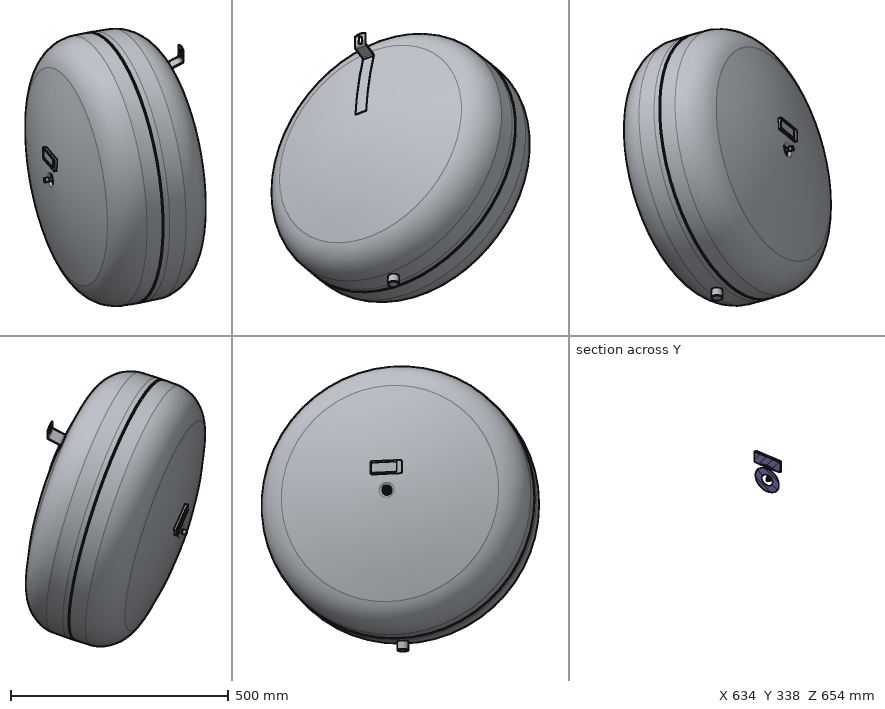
import cadquery as cq
import math


belly_radius = 634.0 / 2
shoulder_radius = 632.0 / 2
shoulder_y = 48.5
dome_rim_radius = 255.0
dome_rim_y = 122.0
dome_apex_y = 161.5
rim_band_y = 7.0
seam_y = -6.5
groove_width = 3.0

dome_sag = dome_apex_y - dome_rim_y
dome_radius = (dome_rim_radius**2 + dome_sag**2) / (2 * dome_sag)

connection_diameter = 26.0
connection_y = 28.0
connection_length = 30.0
connection_chamfer = 1.0
overall_height = 654.0
connection_bottom_z = belly_radius - overall_height

bracket_width = 30.0
bracket_thickness = 2.0
bracket_back_y = 163.0
bracket_top_z = 282.5
bracket_bend_z = 247.0
bend_inner_radius = 3.0
bracket_top_rise = 4.0
foot_top_z = 235.5
foot_bottom_z = 65.5
keyhole_diameter = 11.0
keyhole_slot_width = 8.0
keyhole_center_z = bracket_bend_z + 12.5
keyhole_top_z = bracket_bend_z + 27.5

plate_width = 73.0
plate_height = 31.5
plate_center_z = 52.0
plate_face_y = -165.0
plate_corner_radius = 4.0
label_left_margin = 2.0
label_edge_margin = 4.0
label_width = 59.5
label_height = plate_height - 2 * label_edge_margin
label_corner_radius = 3.0
label_thickness = 1.0

well_diameter = 22.0
well_lip_radius = 6.5
well_depth = 10.0
well_floor_y = well_depth - dome_apex_y
valve_base_diameter = 15.0
valve_base_height = 5.0
valve_base_y = well_floor_y - valve_base_height
valve_stem_diameter = 8.0
cap_diameter = 11.0
cap_back_y = -164.0
cap_front_y = -175.0
cap_chamfer = 2.0
cap_hole_diameter = 3.0
cap_hole_depth = 3.0


def dome_y(radius):
    """Distance of the dome surface from the mid plane at a given radius."""
    return dome_apex_y - dome_radius + math.sqrt(dome_radius**2 - radius**2)


def shell(side, rim_points):
    """One half of the vessel: side is 1 for rear, -1 for front; rim_points close it at the seam."""
    mid_radius = dome_rim_radius / 2
    outline = (
        cq.Workplane("XY")
        .moveTo(0, side * dome_apex_y)
        .threePointArc(
            (mid_radius, side * dome_y(mid_radius)),
            (dome_rim_radius, side * dome_rim_y),
        )
        .tangentArcPoint((shoulder_radius, side * shoulder_y), relative=False)
    )
    for point in rim_points:
        outline = outline.lineTo(*point)
    return outline.lineTo(0, seam_y).close().revolve(360, (0, 0, 0), (0, 1, 0))


def cylinder_y(diameter, start_y, end_y):
    """Cylinder on the vessel axis, between two Y positions."""
    return (
        cq.Workplane("XZ", origin=(0, start_y, 0))
        .circle(diameter / 2)
        .extrude(start_y - end_y)
    )


def make_connection():
    """Pipe stub set into the underside of the rear shell."""
    return (
        cq.Workplane("XY", origin=(0, connection_y, connection_bottom_z))
        .circle(connection_diameter / 2)
        .extrude(connection_length)
        .faces("<Z")
        .chamfer(connection_chamfer)
    )


def make_valve_well():
    """Cutter for the well in the front dome, with its rounded rim."""
    radius = well_diameter / 2
    lip_radius = radius + well_lip_radius
    lip_y = -dome_y(lip_radius)
    lip_mid = well_lip_radius * (1 - math.sqrt(0.5))
    return (
        cq.Workplane("XY")
        .moveTo(0, well_floor_y)
        .lineTo(radius, well_floor_y)
        .lineTo(radius, lip_y + well_lip_radius)
        .threePointArc((radius + lip_mid, lip_y + lip_mid), (lip_radius, lip_y))
        .lineTo(lip_radius, cap_front_y)
        .lineTo(0, cap_front_y)
        .close()
        .revolve(360, (0, 0, 0), (0, 1, 0))
    )


def fillet_bend(strip, corner, radius):
    """Round the edge along X that passes through the (Y, Z) corner of the strip."""
    nearest = cq.selectors.NearestToPointSelector((0, *corner))
    return strip.edges("|X").edges(nearest).fillet(radius)


def make_keyhole():
    """Cutter for the keyhole: a round hole with a narrower round-ended slot above it."""
    slot_top_center_z = keyhole_top_z - keyhole_slot_width / 2
    face = cq.Workplane("XZ", origin=(0, bracket_back_y, keyhole_center_z))
    slot_length = slot_top_center_z - keyhole_center_z
    hole = face.circle(keyhole_diameter / 2).extrude(bracket_thickness)
    slot = (
        face.center(0, slot_length / 2)
        .slot2D(slot_length + keyhole_slot_width, keyhole_slot_width, 90)
        .extrude(bracket_thickness)
    )
    return hole.union(slot)


def make_bracket(vessel_half):
    """Bent sheet strip: upright wall plate, sloping web and a foot lying on the rear dome."""
    front_y = bracket_back_y - bracket_thickness
    foot_mid_z = (foot_top_z + foot_bottom_z) / 2
    foot_bottom_y = dome_y(foot_bottom_z)
    web_top_z = foot_top_z + bracket_thickness
    back_bend = (bracket_back_y, bracket_bend_z)
    front_bend = (front_y, bracket_bend_z + bracket_thickness)
    foot_back_bend = (dome_y(foot_top_z) + bracket_thickness, foot_top_z)
    foot_front_bend = (dome_y(web_top_z), web_top_z)

    strip = (
        cq.Workplane("YZ", origin=(-bracket_width / 2, 0, 0))
        .moveTo(bracket_back_y, bracket_top_z)
        .lineTo(*back_bend)
        .lineTo(*foot_back_bend)
        .threePointArc(
            (dome_y(foot_mid_z) + bracket_thickness, foot_mid_z),
            (foot_bottom_y + bracket_thickness, foot_bottom_z),
        )
        .lineTo(foot_bottom_y - bracket_thickness, foot_bottom_z)
        .lineTo(*foot_front_bend)
        .lineTo(*front_bend)
        .lineTo(front_y, bracket_top_z)
        .close()
        .extrude(bracket_width)
    )
    bend_outer_radius = bend_inner_radius + bracket_thickness
    strip = fillet_bend(strip, back_bend, bend_outer_radius)
    strip = fillet_bend(strip, front_bend, bend_inner_radius)
    strip = fillet_bend(strip, foot_front_bend, bend_outer_radius)
    strip = fillet_bend(strip, foot_back_bend, bend_inner_radius)

    half_width = bracket_width / 2
    outline = (
        cq.Workplane("XZ", origin=(0, bracket_back_y, 0))
        .moveTo(-half_width, foot_bottom_z)
        .lineTo(-half_width, bracket_top_z - bracket_top_rise)
        .threePointArc((0, bracket_top_z), (half_width, bracket_top_z - bracket_top_rise))
        .lineTo(half_width, foot_bottom_z)
        .close()
        .extrude(bracket_back_y)
    )
    return strip.intersect(outline).cut(make_keyhole()).cut(vessel_half)


def rounded_block(width, height, corner_radius, center_x, depth):
    """Block behind the name plate face, with corners rounded as seen along Y."""
    return (
        cq.Workplane("XZ", origin=(center_x, plate_face_y + depth, plate_center_z))
        .rect(width, height)
        .extrude(depth)
        .edges("|Y")
        .fillet(corner_radius)
    )


def make_label():
    center_x = -plate_width / 2 + label_left_margin + label_width / 2
    return rounded_block(label_width, label_height, label_corner_radius, center_x, label_thickness)


def make_name_plate(vessel_half, label):
    depth = -plate_face_y - dome_y(plate_width)
    block = rounded_block(plate_width, plate_height, plate_corner_radius, 0, depth)
    return block.cut(vessel_half).cut(label)


def make_valve():
    """Valve base on the floor of the well, with the stem that carries the cap."""
    base = cylinder_y(valve_base_diameter, well_floor_y, valve_base_y)
    stem = cylinder_y(valve_stem_diameter, valve_base_y, cap_back_y)
    return base.union(stem)


def make_valve_cap():
    """Round cap, chamfered at the back and with a small hole in its front."""
    cap = cylinder_y(cap_diameter, cap_back_y, cap_front_y).faces(">Y").chamfer(cap_chamfer)
    return cap.cut(cylinder_y(cap_hole_diameter, cap_front_y + cap_hole_depth, cap_front_y))


connection = make_connection()
rear_rim = [(belly_radius, rim_band_y), (belly_radius, seam_y)]
rear_shell = shell(1, rear_rim).cut(connection)
bracket = make_bracket(rear_shell)

groove_end_y = seam_y - groove_width
front_rim = [
    (belly_radius, groove_end_y),
    (shoulder_radius, groove_end_y),
    (shoulder_radius, seam_y),
]
front_shell = shell(-1, front_rim)
label = make_label()
name_plate = make_name_plate(front_shell, label)
front_shell = front_shell.cut(make_valve_well())

valve = make_valve()
valve_cap = make_valve_cap()

result = cq.Compound.makeCompound([
    rear_shell.val(),
    front_shell.val(),
    connection.val(),
    bracket.val(),
    name_plate.val(),
    label.val(),
    valve.val(),
    valve_cap.val(),
])